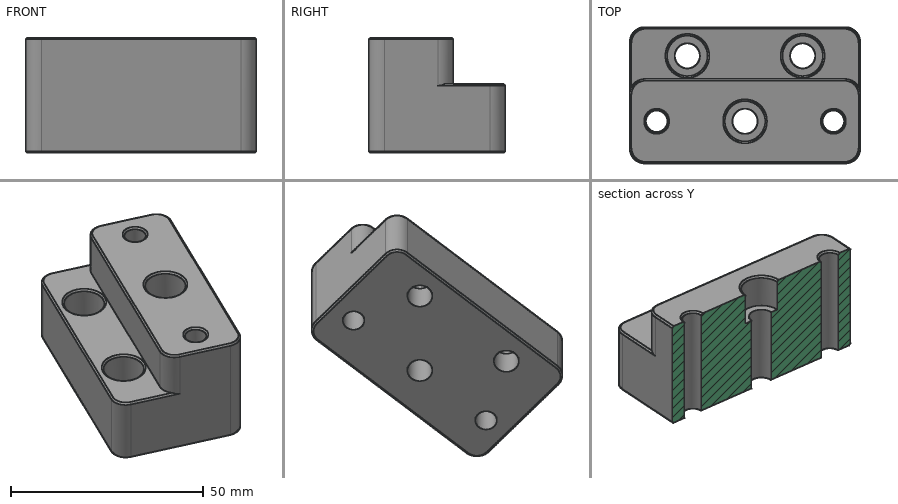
import cadquery as cq

length = 60.0
depth = 35.5
height = 30.0
step_depth = 22.0
ledge_height = 18.0
corner_radius = 4.0
edge_chamfer = 0.5

bolt_diameter = 6.5
counterbore_diameter = 10.5
counterbore_depth = 9.0
pin_diameter = 5.6
front_row_y = step_depth / 2
rear_row_y = 28.0
pin_offset = 23.0
rear_bolt_offset = 15.0


def rounded_block(block_depth, block_height):
    """Block with its front face on Y = 0, rounded corners and chamfered rims."""
    return (
        cq.Workplane("XY")
        .box(length, block_depth, block_height, centered=(True, False, False))
        .edges("|Z")
        .fillet(corner_radius)
        .faces("<Z or >Z")
        .edges()
        .chamfer(edge_chamfer)
    )


def cylinder(x, y, bottom, diameter, cylinder_height):
    """Vertical cylinder standing on the given bottom height."""
    return cq.Workplane("XY", origin=(x, y, bottom)).circle(diameter / 2).extrude(cylinder_height)


def chamfered_bore(x, y, top, diameter, bore_depth):
    """Cutter for a bore sunk from the top face, widened by a chamfer at its mouth."""
    bore = cylinder(x, y, top - bore_depth, diameter, bore_depth)
    mouth = (
        cq.Workplane("XY", origin=(x, y, top))
        .circle(diameter / 2 + edge_chamfer)
        .workplane(offset=-edge_chamfer)
        .circle(diameter / 2)
        .loft(ruled=True)
    )
    return bore.union(mouth)


def counterbored_hole(x, y, top):
    """Cutter for a through bolt hole with a chamfered counterbore."""
    bolt = cylinder(x, y, 0, bolt_diameter, top)
    return bolt.union(chamfered_bore(x, y, top, counterbore_diameter, counterbore_depth))


result = rounded_block(depth, ledge_height).union(rounded_block(step_depth, height))

result = result.cut(counterbored_hole(0, front_row_y, height))
for side in (-1, 1):
    result = result.cut(counterbored_hole(side * rear_bolt_offset, rear_row_y, ledge_height))

for side in (-1, 1):
    result = result.cut(chamfered_bore(side * pin_offset, front_row_y, height, pin_diameter, height))